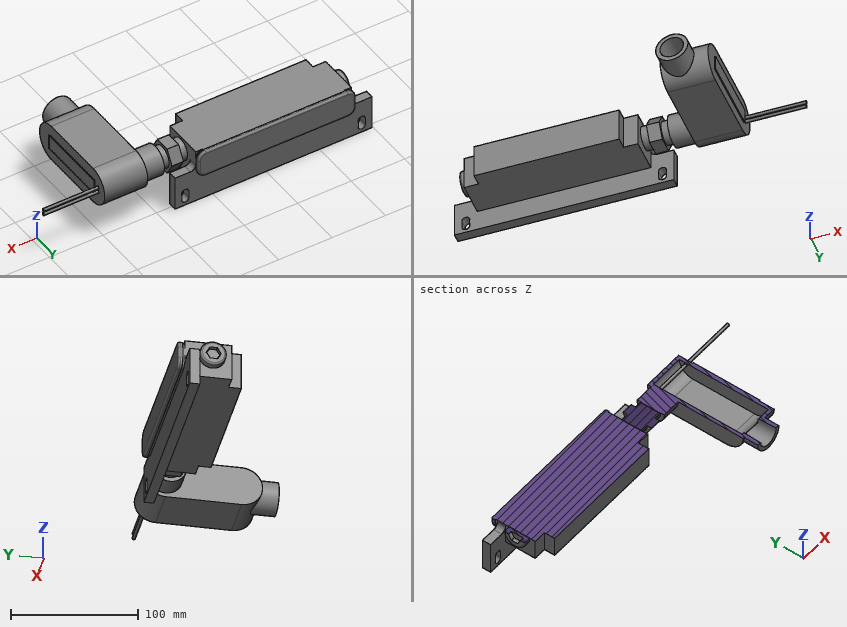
import cadquery as cq
import math


PLATE_LENGTH = 184.2
PLATE_BACK = 21.8
PLATE_THICKNESS = 8.0
PLATE_TOP = -6.3
PLATE_BOTTOM = -38.0
PLATE_BLEND_RADIUS = 4.8
SLOT_LENGTH = 12.8
SLOT_WIDTH = 6.5
SLOT_END_DISTANCE = 9.5
SLOT_Z = -28.5

BOX_LENGTH = 145.7
BOX_LEFT = (PLATE_LENGTH - BOX_LENGTH) / 2
BOX_RIGHT = BOX_LEFT + BOX_LENGTH
BOX_TOP = 12.2
BOX_BOTTOM = -19.0
BOX_FRONT = -15.8
NOSE_INSET = 12.0
NOSE_FRONT = -26.0

COLLAR_HEIGHT = 22.5
COLLAR_DEPTH = 1.8
CORNER_RADIUS = 6.5
RIM_OVERHANG = 1.0
RIM_DEPTH = 3.5
RIM_EDGE_RADIUS = 1.8

PLUG_RADIUS = 10.5
PLUG_LENGTH = 6.3
PLUG_EDGE_RADIUS = 1.5
SOCKET_FLATS = 10.0
SOCKET_DEPTH = 3.5

UNION_DIAMETER = 20.0
UNION_LENGTH = 23.8
UNION_RIGHT = BOX_RIGHT + UNION_LENGTH
NUT_FLATS = 24.7
NUT_LENGTH = 10.7
NUT_OFFSET = 6.5

HUB_DIAMETER = 27.0
HUB_LENGTH = 18.0
ELBOW_LEFT = UNION_RIGHT + HUB_LENGTH
ELBOW_WIDTH = 40.2
ELBOW_RIGHT = ELBOW_LEFT + ELBOW_WIDTH
ELBOW_RADIUS = 17.0
ELBOW_CENTRE_DISTANCE = 61.0
ELBOW_WALL = 3.5
SPOUT_X = ELBOW_LEFT + 15.0
SPOUT_END_Y = -91.8
SPOUT_DIAMETER = HUB_DIAMETER
BORE_MOUTH_RADIUS = 9.8
BORE_INNER_RADIUS = 8.5
PAD_THICKNESS = 1.0
PAD_TOP_Y = 3.0
PAD_LENGTH = 66.2
PAD_HEIGHT = 13.5

WIRE_RADIUS = 1.35
WIRE_Y = 7.2
WIRE_CENTRES_Z = (2.5, -1.8)
WIRE_LEFT = ELBOW_LEFT + ELBOW_WALL
WIRE_RIGHT = 298.0


def block(x_start, x_end, y_start, y_end, z_start, z_end):
    """Axis-aligned block between the given limits."""
    size = (x_end - x_start, y_end - y_start, z_end - z_start)
    return cq.Workplane("XY").box(*size, centered=False).translate((x_start, y_start, z_start))


def rod(radius, x_start, x_end, y=0.0, z=0.0):
    """Round bar along X."""
    return cq.Workplane("YZ", origin=(x_start, y, z)).circle(radius).extrude(x_end - x_start)


def hexagon_bar(across_flats, x_start, length):
    """Hexagonal bar along X with flats facing up and down."""
    across_corners = across_flats / math.cos(math.pi / 6)
    return cq.Workplane("YZ", origin=(x_start, 0, 0)).polygon(6, across_corners).extrude(length)


def obround(radius, x_start, x_end):
    """Round-ended bar along X, one end centred on the conduit axis."""
    centre_y = -ELBOW_CENTRE_DISTANCE / 2
    return (
        cq.Workplane("YZ", origin=(x_start, centre_y, 0))
        .slot2D(ELBOW_CENTRE_DISTANCE + 2 * radius, 2 * radius)
        .extrude(x_end - x_start)
    )


def rounded_slab(y_front, depth, margin):
    """Slab with rounded corners on the back of the box, grown outwards by the margin."""
    y_back = y_front + depth
    slab = block(
        BOX_LEFT - margin,
        BOX_RIGHT + margin,
        y_front,
        y_back,
        BOX_TOP - COLLAR_HEIGHT - margin,
        BOX_TOP + margin,
    )
    return slab.edges("|Y").fillet(CORNER_RADIUS + margin)


def make_mounting_plate():
    """Slotted plate whose top edge curves up into both ends of the box."""
    front = PLATE_BACK - PLATE_THICKNESS
    blend_left = BOX_LEFT - PLATE_BLEND_RADIUS
    blend_right = BOX_RIGHT + PLATE_BLEND_RADIUS
    blend_top = PLATE_TOP + PLATE_BLEND_RADIUS
    plate = (
        cq.Workplane("XZ", origin=(0, front, 0))
        .moveTo(0, PLATE_BOTTOM)
        .lineTo(PLATE_LENGTH, PLATE_BOTTOM)
        .lineTo(PLATE_LENGTH, PLATE_TOP)
        .lineTo(blend_right, PLATE_TOP)
        .radiusArc((BOX_RIGHT, blend_top), PLATE_BLEND_RADIUS)
        .lineTo(BOX_LEFT, blend_top)
        .radiusArc((blend_left, PLATE_TOP), PLATE_BLEND_RADIUS)
        .lineTo(0, PLATE_TOP)
        .close()
        .extrude(-PLATE_THICKNESS)
    )
    slots = (
        cq.Workplane("XZ", origin=(0, front, 0))
        .pushPoints([(SLOT_END_DISTANCE, SLOT_Z), (PLATE_LENGTH - SLOT_END_DISTANCE, SLOT_Z)])
        .slot2D(SLOT_LENGTH, SLOT_WIDTH, 90)
        .extrude(-PLATE_THICKNESS)
    )
    return plate.cut(slots)


def make_housing():
    """Box with its nose, mounting plate and rounded back cover."""
    box = block(BOX_LEFT, BOX_RIGHT, BOX_FRONT, PLATE_BACK, BOX_BOTTOM, BOX_TOP)
    nose = block(
        BOX_LEFT + NOSE_INSET,
        BOX_RIGHT - NOSE_INSET,
        NOSE_FRONT,
        BOX_FRONT,
        BOX_BOTTOM,
        BOX_TOP,
    )
    collar = rounded_slab(PLATE_BACK, COLLAR_DEPTH, 0)
    rim = rounded_slab(PLATE_BACK + COLLAR_DEPTH, RIM_DEPTH, RIM_OVERHANG)
    rim = rim.faces(">Y").edges().fillet(RIM_EDGE_RADIUS)
    return box.union(nose).union(make_mounting_plate()).union(collar).union(rim)


def make_plug():
    """Round plug with a softened outer edge and a hexagon socket."""
    plug_left = BOX_LEFT - PLUG_LENGTH
    plug = rod(PLUG_RADIUS, plug_left, BOX_LEFT).faces("<X").edges().fillet(PLUG_EDGE_RADIUS)
    return plug.cut(hexagon_bar(SOCKET_FLATS, plug_left, SOCKET_DEPTH))


def make_union():
    """Round nipple with a hexagon nut around it."""
    nipple = rod(UNION_DIAMETER / 2, BOX_RIGHT, UNION_RIGHT)
    return nipple.union(hexagon_bar(NUT_FLATS, BOX_RIGHT + NUT_OFFSET, NUT_LENGTH))


def make_spout():
    """Round spout that reaches back into the body."""
    return (
        cq.Workplane("XZ", origin=(SPOUT_X, SPOUT_END_Y, 0))
        .circle(SPOUT_DIAMETER / 2)
        .extrude(SPOUT_END_Y + ELBOW_CENTRE_DISTANCE)
    )


def make_spout_bore():
    """Tapered bore from the spout mouth into the cavity."""
    return (
        cq.Workplane("XZ", origin=(SPOUT_X, SPOUT_END_Y, 0))
        .circle(BORE_MOUTH_RADIUS)
        .workplane(offset=SPOUT_END_Y + ELBOW_CENTRE_DISTANCE)
        .circle(BORE_INNER_RADIUS)
        .loft()
    )


def make_elbow(wires):
    """Hollow elbow with a hub, spout and pad, and a fitting hole for each wire."""
    body = obround(ELBOW_RADIUS, ELBOW_LEFT, ELBOW_RIGHT)
    hub = rod(HUB_DIAMETER / 2, UNION_RIGHT, ELBOW_LEFT)
    pad = block(
        ELBOW_RIGHT,
        ELBOW_RIGHT + PAD_THICKNESS,
        PAD_TOP_Y - PAD_LENGTH,
        PAD_TOP_Y,
        -PAD_HEIGHT / 2,
        PAD_HEIGHT / 2,
    )
    cavity = obround(ELBOW_RADIUS - ELBOW_WALL, ELBOW_LEFT + ELBOW_WALL, ELBOW_RIGHT - ELBOW_WALL)
    elbow = body.union(hub).union(make_spout()).union(pad).cut(cavity).cut(make_spout_bore())
    for wire in wires:
        elbow = elbow.cut(wire)
    return elbow


def make_wire(z):
    """Straight wire from the inner wall of the elbow out through its right side."""
    return rod(WIRE_RADIUS, WIRE_LEFT, WIRE_RIGHT, WIRE_Y, z)


housing = make_housing()
plug = make_plug()
union_fitting = make_union()
wires = [make_wire(z) for z in WIRE_CENTRES_Z]
elbow = make_elbow(wires)

result = cq.Compound.makeCompound(
    [
        housing.val(),
        plug.val(),
        union_fitting.val(),
        elbow.val(),
        *[wire.val() for wire in wires],
    ]
)